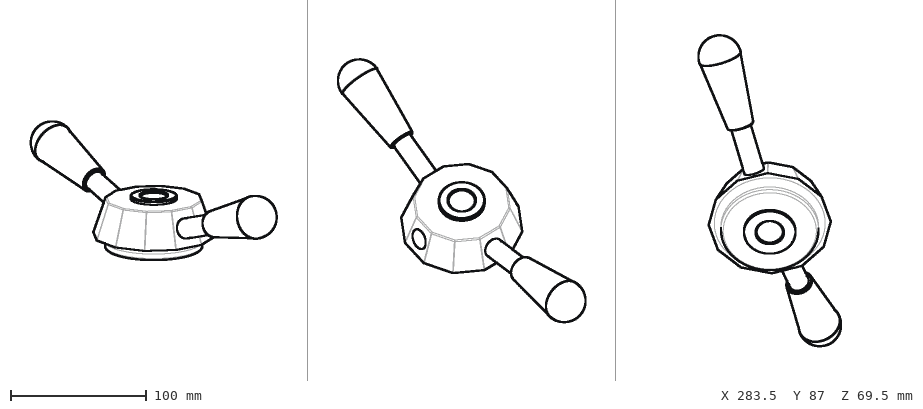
import cadquery as cq
import math

side_count = 12
hub_width = 87.0
hub_bottom = 12.0
hub_top = 39.5
tilt = 18.0
hub_edge_radius = 1.0

collar_diameter = 34.0
collar_top = 42.0
collar_chamfer = 0.5
disc_diameter = 72.0
disc_bottom = 2.0
disc_edge_radius = 1.7
cove_radius = 4.8
pad_diameter = 38.0

bore_diameter = 19.3
bore_chamfer = 0.9

rod_diameter = 15.0
socket_depth = 17.0
overall_length = 283.5
overall_height = 69.5
ball_radius = 16.0
grip_length = 55.0
grip_small_radius = 10.0
grip_edge_chamfer = 0.5
grip_large_radius = 15.5
ball_lip = 0.9

bend = math.sqrt(0.5)
tilt_angle = math.radians(tilt)
ball_x = overall_length / 2 - ball_radius
ball_z = overall_height - ball_radius
axis_meet_z = ball_z - ball_x * math.tan(tilt_angle)
handle_length = ball_x / math.cos(tilt_angle)


def tilted(shape, heading):
    """Move a shape built along +Z onto a rising handle axis that points to a compass heading."""
    return (
        shape.rotate((0, 0, 0), (0, 1, 0), 90 - tilt)
        .rotate((0, 0, 0), (0, 0, 1), heading)
        .translate((0, 0, axis_meet_z))
    )


def wall_distance():
    """Distance along a handle axis from the bore axis to the hub wall."""
    base_to_meet = axis_meet_z - hub_bottom
    return hub_width / 2 * math.cos(tilt_angle) - base_to_meet * math.sin(tilt_angle)


def make_hub():
    corner_diameter = hub_width / math.cos(math.pi / side_count)
    half_side_angle = 180 / side_count
    body = (
        cq.Workplane("XY", origin=(0, 0, hub_bottom))
        .polygon(side_count, corner_diameter)
        .extrude(hub_top - hub_bottom, taper=tilt)
        .rotate((0, 0, 0), (0, 0, 1), half_side_angle)
    )
    return body.edges("not <Z").fillet(hub_edge_radius)


def make_round_steps():
    """Collar, coved disc and bottom pad, revolved about the bore axis."""
    disc_radius = disc_diameter / 2
    cove_start = hub_bottom - cove_radius
    cove_middle = (
        disc_radius + cove_radius * (1 - bend),
        cove_start + cove_radius * bend,
    )
    edge_middle = (
        disc_radius - disc_edge_radius * (1 - bend),
        disc_bottom + disc_edge_radius * (1 - bend),
    )
    return (
        cq.Workplane("XZ")
        .lineTo(pad_diameter / 2, 0)
        .lineTo(pad_diameter / 2, disc_bottom)
        .lineTo(disc_radius - disc_edge_radius, disc_bottom)
        .threePointArc(edge_middle, (disc_radius, disc_bottom + disc_edge_radius))
        .lineTo(disc_radius, cove_start)
        .threePointArc(cove_middle, (disc_radius + cove_radius, hub_bottom))
        .lineTo(collar_diameter / 2, hub_bottom)
        .lineTo(collar_diameter / 2, collar_top - collar_chamfer)
        .lineTo(collar_diameter / 2 - collar_chamfer, collar_top)
        .lineTo(0, collar_top)
        .close()
        .revolve(360, (0, 0, 0), (0, 1, 0))
    )


def make_handle(heading):
    """Rod from inside the hub, tapered grip and lipped half-ball end."""
    rod_start = wall_distance() - socket_depth
    grip_start = handle_length - grip_length
    lip_start = handle_length - ball_lip
    profile = (
        cq.Workplane("XZ")
        .moveTo(0, rod_start)
        .lineTo(rod_diameter / 2, rod_start)
        .lineTo(rod_diameter / 2, grip_start)
        .lineTo(grip_small_radius - grip_edge_chamfer, grip_start)
        .lineTo(grip_small_radius, grip_start + grip_edge_chamfer)
        .lineTo(grip_large_radius, lip_start)
        .lineTo(ball_radius, lip_start)
        .lineTo(ball_radius, handle_length)
        .threePointArc(
            (ball_radius * bend, handle_length + ball_radius * bend),
            (0, handle_length + ball_radius),
        )
        .close()
    )
    return tilted(profile.revolve(360, (0, 0, 0), (0, 1, 0)), heading)


def make_socket():
    """Blind hole for a handle, square to the +Y wall."""
    cutter = cq.Workplane("XY", origin=(0, 0, wall_distance() - socket_depth)).circle(rod_diameter / 2)
    return tilted(cutter.extrude(2 * socket_depth), 90)


def make_bore():
    """Through bore with both mouths chamfered."""
    radius = bore_diameter / 2
    return (
        cq.Workplane("XZ")
        .lineTo(radius + bore_chamfer, 0)
        .lineTo(radius, bore_chamfer)
        .lineTo(radius, collar_top - bore_chamfer)
        .lineTo(radius + bore_chamfer, collar_top)
        .lineTo(0, collar_top)
        .close()
        .revolve(360, (0, 0, 0), (0, 1, 0))
    )


result = make_hub().union(make_round_steps())
for handle_heading in (0, 180):
    result = result.union(make_handle(handle_heading))
result = result.cut(make_socket()).cut(make_bore())